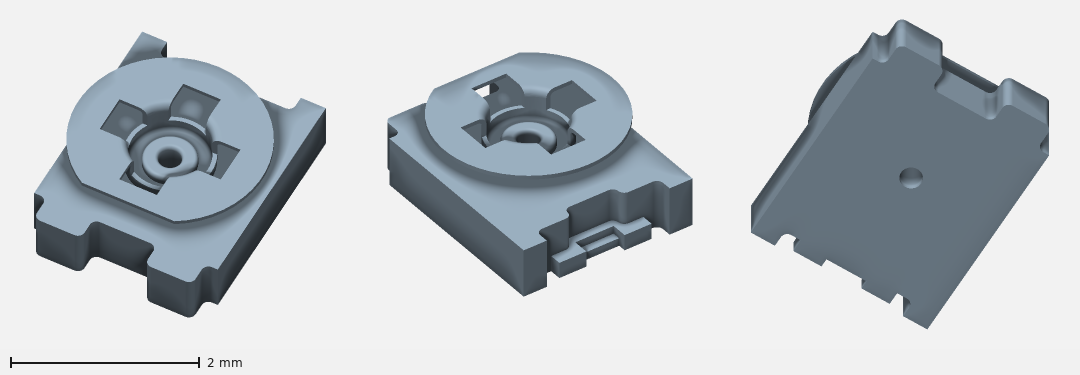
import cadquery as cq
import math

base_width = 2.2
base_height = 0.61
base_back_y = 1.45
shoulder_y = -1.0
foot_front_y = -1.3
foot_outer_x = 0.95
foot_inner_x = 0.38
foot_gap_y = -1.02
back_notch_half_width = 0.8
back_notch_y = 1.25
pocket_half_width = 0.33
pocket_y = 1.1
outline_radius = 0.08

terminal_half_width = 0.6
terminal_front_y = 1.02
terminal_back_y = 1.4
terminal_height = 0.2
terminal_gap_half_width = 0.25
terminal_gap_y = 1.3
terminal_step_y = 1.2
terminal_step_height = terminal_height / 2

total_height = 1.06
sheet = 0.05
disc_radius = base_width / 2
disc_flat_y = -0.95
cup_radius = 0.5
cup_bore_radius = cup_radius - sheet
bend_inner = 0.05
bend_outer = bend_inner + sheet
slot_width = 0.45
slot_length = 1.45
slot_floor_z = 0.81

eyelet_radius = 0.3
eyelet_height = 0.1
eyelet_top = base_height + sheet + eyelet_height
eyelet_round = 0.05
hole_radius = 0.125
hole_round = 0.05


def make_base():
    half_width = base_width / 2
    front_rounded = [
        (foot_inner_x, foot_gap_y),
        (foot_inner_x, foot_front_y),
        (foot_outer_x, foot_front_y),
        (foot_outer_x, shoulder_y),
    ]
    side_sharp = [
        (half_width, shoulder_y),
        (half_width, base_back_y),
        (back_notch_half_width, base_back_y),
    ]
    back_rounded = [
        (back_notch_half_width, back_notch_y),
        (pocket_half_width, back_notch_y),
        (pocket_half_width, pocket_y),
    ]
    right_half = front_rounded + side_sharp + back_rounded
    left_half = [(-x, y) for x, y in reversed(right_half)]
    block = cq.Workplane("XY").polyline(right_half + left_half).close().extrude(base_height)
    for x, y in front_rounded + back_rounded:
        for side in (1, -1):
            corner = cq.selectors.NearestToPointSelector((side * x, y, base_height / 2))
            block = block.edges("|Z").edges(corner).fillet(outline_radius)
    return block


def box_between(x_half, y_front, y_back, z_low, z_high):
    """Box centred on X = 0 between the given Y and Z limits."""
    plane = cq.Workplane("XY", origin=(0, y_front, z_low))
    return plane.box(2 * x_half, y_back - y_front, z_high - z_low, centered=(True, False, False))


def make_terminal():
    """Plate with an open gap and a lowered step at its back edge."""
    plate = box_between(terminal_half_width, terminal_front_y, terminal_back_y, 0, terminal_height)
    gap = box_between(terminal_gap_half_width, terminal_gap_y, terminal_back_y, 0, terminal_height)
    step = box_between(
        terminal_gap_half_width, terminal_step_y, terminal_back_y, terminal_step_height, terminal_height
    )
    return plate.cut(gap).cut(step)


def make_disc_and_cup():
    """Flat disc drawn down into a closed cup, as one revolved sheet section."""
    disc_bottom = total_height - sheet
    floor_bottom = base_height
    floor_top = floor_bottom + sheet
    diagonal = math.sqrt(0.5)

    def bend_point(center_r, center_z, radius, side_r, side_z):
        """Midpoint of a quarter bend that faces the given diagonal."""
        return (center_r + side_r * radius * diagonal, center_z + side_z * radius * diagonal)

    rim_r = cup_radius + bend_inner
    rim_z = disc_bottom - bend_inner
    heel_r = cup_radius - bend_outer
    heel_z = floor_bottom + bend_outer
    section = (
        cq.Workplane("XZ")
        .moveTo(0, floor_bottom)
        .lineTo(heel_r, floor_bottom)
        .threePointArc(bend_point(heel_r, heel_z, bend_outer, 1, -1), (cup_radius, heel_z))
        .lineTo(cup_radius, rim_z)
        .threePointArc(bend_point(rim_r, rim_z, bend_inner, -1, 1), (rim_r, disc_bottom))
        .lineTo(disc_radius, disc_bottom)
        .lineTo(disc_radius, total_height)
        .lineTo(rim_r, total_height)
        .threePointArc(bend_point(rim_r, rim_z, bend_outer, -1, 1), (cup_bore_radius, rim_z))
        .lineTo(cup_bore_radius, heel_z)
        .threePointArc(bend_point(heel_r, heel_z, bend_inner, 1, -1), (heel_r, floor_top))
        .lineTo(0, floor_top)
        .close()
    )
    return section.revolve()


def make_eyelet():
    seat = cq.Workplane("XY", origin=(0, 0, base_height))
    eyelet = seat.circle(eyelet_radius).extrude(eyelet_top - base_height)
    return eyelet.faces(">Z").edges().fillet(eyelet_round)


def make_rotor():
    rotor = make_disc_and_cup()
    front_trim = box_between(disc_radius, -disc_radius, disc_flat_y, base_height, total_height)
    rotor = rotor.cut(front_trim)
    for length_x, length_y in ((slot_length, slot_width), (slot_width, slot_length)):
        slot = box_between(length_x / 2, -length_y / 2, length_y / 2, slot_floor_z, total_height)
        rotor = rotor.cut(slot)
    return rotor.union(make_eyelet())


def drill_centre(body):
    """Drill through rotor and base, then round the mouth of the hole."""
    drill = cq.Workplane("XY").circle(hole_radius).extrude(total_height)
    body = body.cut(drill)
    mouth = cq.selectors.BoxSelector(
        (-hole_radius, -hole_radius, eyelet_top - hole_round / 2),
        (hole_radius, hole_radius, eyelet_top + hole_round / 2),
    )
    return body.edges(mouth).fillet(hole_round)


result = drill_centre(make_base().union(make_terminal()).union(make_rotor()))